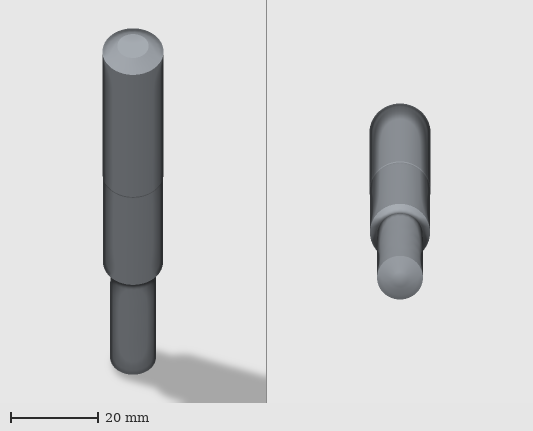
import cadquery as cq
import math

total_length = 112.0
handle_diameter = 14.0
plunger_diameter = 13.8
neck_top_diameter = 10.4
neck_bottom_diameter = 10.5
seam_height = 66.4
shoulder_height = 33.9

point_angle = 20.0
shoulder_angle = 45.0
crown_angle = 30.0
crown_diameter = 7.2

taper_height = 0.5

handle_radius = handle_diameter / 2
plunger_radius = plunger_diameter / 2
neck_top_radius = neck_top_diameter / 2
neck_bottom_radius = neck_bottom_diameter / 2
crown_radius = crown_diameter / 2


def cone_height(large_radius, small_radius, angle):
    """Height of a cone frustum whose side slopes at angle from horizontal."""
    return (large_radius - small_radius) * math.tan(math.radians(angle))


def revolve_profile(points):
    """Turn a closed outline of (radius, height) points about the Z axis."""
    return cq.Workplane("XZ").polyline(points).close().revolve(360, (0, 0, 0), (0, 1, 0))


def make_plunger():
    """Lower body: pointed and slightly tapered neck, conical shoulder and cylindrical shank."""
    point_top = cone_height(neck_bottom_radius, 0, point_angle)
    shoulder_top = shoulder_height + cone_height(plunger_radius, neck_top_radius, shoulder_angle)
    return revolve_profile([
        (0, 0),
        (neck_bottom_radius, point_top),
        (neck_top_radius, shoulder_height),
        (plunger_radius, shoulder_top),
        (plunger_radius, seam_height),
        (0, seam_height),
    ])


def make_handle():
    """Upper body: cylinder with a tapered lower end and a conical crown."""
    crown_bottom = total_length - cone_height(handle_radius, crown_radius, crown_angle)
    return revolve_profile([
        (0, seam_height),
        (plunger_radius, seam_height),
        (handle_radius, seam_height + taper_height),
        (handle_radius, crown_bottom),
        (crown_radius, total_length),
        (0, total_length),
    ])


plunger = make_plunger()
handle = make_handle()

result = cq.Compound.makeCompound([plunger.val(), handle.val()])